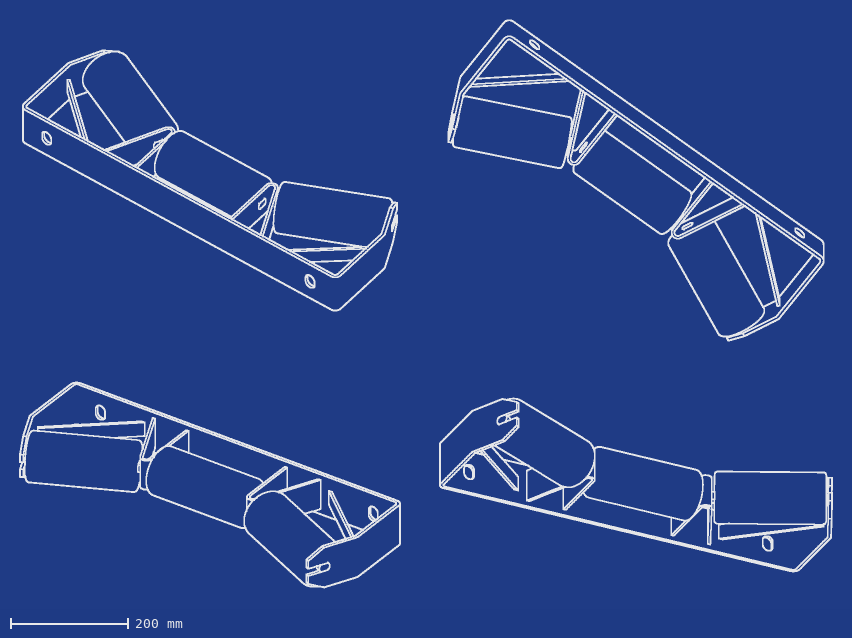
import cadquery as cq
import math


FRAME_LENGTH = 680.0
STRAP_HEIGHT = 80.0
STRAP_THICKNESS = 6.0
CORNER_RADIUS = 11.5
ARM_BEND_RADIUS = 13.5

ROLLER_DIAMETER = 89.0
ROLLER_LENGTH = 190.5
ROLLER_EDGE_RADIUS = 5.5
SHAFT_DIAMETER = 20.5
SHAFT_FLATS = 14.0
BRACKET_GAP = 5.0
ARM_GAP = 3.5
TROUGH_ANGLE = 25.0
MIDDLE_ROLLER_Y = 98.5
SIDE_ROLLER_X = 217.5
SIDE_ROLLER_Y = 149.5

ARM_TOP_Y = 223.0
ARM_TIP_WIDTH = 45.5
ARM_CHAMFER_LENGTH = 31.0

PLATE_THICKNESS = 5.0
BRACKET_HEIGHT = 58.5
ARCH_RADIUS = 11.0
BRACE_HEIGHT = 27.0
BRACE_FOOT_X = 190.5
BRACE_TOP_X = 331.0
BRACE_TOP_Y = 124.0

MOUNT_SLOT_X = 283.0
MOUNT_SLOT_WIDTH = 19.0
MOUNT_SLOT_HEIGHT = 28.0

HALF_LENGTH = FRAME_LENGTH / 2
COS = math.cos(math.radians(TROUGH_ANGLE))
SIN = math.sin(math.radians(TROUGH_ANGLE))
BRACKET_SEAT = ROLLER_LENGTH / 2 + BRACKET_GAP
BRACKET_REACH = BRACKET_SEAT + PLATE_THICKNESS
ARM_SEAT = ROLLER_LENGTH / 2 + ARM_GAP
ARM_REACH = ARM_SEAT + STRAP_THICKNESS
FOOT_Y = STRAP_THICKNESS / 2


def side_point(along, across):
    """Point at the right side roller: `along` its axis outwards, `across` it upwards."""
    return (SIDE_ROLLER_X + along * COS - across * SIN, SIDE_ROLLER_Y + along * SIN + across * COS)


def across_at_x(along, x):
    """Where the line at a fixed `along` crosses a given X."""
    return (SIDE_ROLLER_X + along * COS - x) / SIN


def across_at_y(along, y):
    """Where the line at a fixed `along` crosses a given Y."""
    return (y - SIDE_ROLLER_Y - along * SIN) / COS


def plate(outline, height):
    """Close an outline and make it a plate centred on Z = 0."""
    return outline.close().extrude(height / 2, both=True)


def on_both_sides(right_half):
    """Join a right-hand shape with its mirror image."""
    return right_half.union(right_half.mirror("YZ"))


def nearest(x, y):
    """Select the upright edge at a corner of the strap."""
    return cq.selectors.NearestToPointSelector((x, y, 0))


def make_strap():
    """Right half of the strap: back, end wall and tilted arm, mirrored to the other side."""
    inner_x = HALF_LENGTH - STRAP_THICKNESS
    tip = across_at_y(ARM_REACH, ARM_TOP_Y)
    outer_bend = side_point(ARM_REACH, across_at_x(ARM_REACH, HALF_LENGTH))
    inner_bend = side_point(ARM_SEAT, across_at_x(ARM_SEAT, inner_x))
    outline = (
        cq.Workplane("XY")
        .moveTo(0, 0)
        .lineTo(HALF_LENGTH, 0)
        .lineTo(*outer_bend)
        .lineTo(*side_point(ARM_REACH, tip))
        .lineTo(*side_point(ARM_SEAT, tip))
        .lineTo(*inner_bend)
        .lineTo(inner_x, STRAP_THICKNESS)
        .lineTo(0, STRAP_THICKNESS)
    )
    strap = plate(outline, STRAP_HEIGHT)
    strap = strap.edges(nearest(HALF_LENGTH, 0)).fillet(CORNER_RADIUS)
    strap = strap.edges(nearest(inner_x, STRAP_THICKNESS)).fillet(CORNER_RADIUS - STRAP_THICKNESS)
    strap = strap.edges(nearest(*outer_bend)).fillet(ARM_BEND_RADIUS)
    strap = strap.edges(nearest(*inner_bend)).fillet(ARM_BEND_RADIUS - STRAP_THICKNESS)
    return on_both_sides(strap.cut(arm_corners(tip)))


def arm_corners(tip):
    """Wedges that bevel the upper and lower corner of an arm tip."""
    drop = (STRAP_HEIGHT - ARM_TIP_WIDTH) / 2
    wedge = (
        cq.Workplane("YZ")
        .moveTo(tip, STRAP_HEIGHT / 2)
        .lineTo(tip - ARM_CHAMFER_LENGTH, STRAP_HEIGHT / 2)
        .lineTo(tip, STRAP_HEIGHT / 2 - drop)
        .close()
        .extrude(ARM_REACH)
    )
    return on_side_roller(wedge.union(wedge.mirror("XY")))


def make_bracket():
    """Arched plate between two rollers: a straight leg, a round top and a tilted leg."""
    arch_x = BRACKET_SEAT + ARCH_RADIUS
    arch_along = -arch_x
    arch_y = side_point(arch_along, across_at_x(arch_along, arch_x))[1]
    inner_radius = ARCH_RADIUS - PLATE_THICKNESS
    crown_angle = math.radians((180 + TROUGH_ANGLE) / 2)

    def arch_point(radius, angle):
        return (arch_x + radius * math.cos(angle), arch_y + radius * math.sin(angle))

    tilted_start = math.radians(TROUGH_ANGLE)
    outline = (
        cq.Workplane("XY")
        .moveTo(BRACKET_SEAT, FOOT_Y)
        .lineTo(*arch_point(ARCH_RADIUS, math.pi))
        .threePointArc(arch_point(ARCH_RADIUS, crown_angle), arch_point(ARCH_RADIUS, tilted_start))
        .lineTo(*side_point(-BRACKET_SEAT, across_at_y(-BRACKET_SEAT, FOOT_Y)))
        .lineTo(*side_point(-BRACKET_REACH, across_at_y(-BRACKET_REACH, FOOT_Y)))
        .lineTo(*arch_point(inner_radius, tilted_start))
        .threePointArc(arch_point(inner_radius, crown_angle), arch_point(inner_radius, math.pi))
        .lineTo(BRACKET_REACH, FOOT_Y)
    )
    return plate(outline, BRACKET_HEIGHT)


def make_brace():
    """Slanted plate from the strap's back towards its end wall, square at the top."""
    run = BRACE_TOP_X - BRACE_FOOT_X
    rise = BRACE_TOP_Y - FOOT_Y
    length = math.hypot(run, rise)
    offset_x = -PLATE_THICKNESS / 2 * rise / length
    offset_y = PLATE_THICKNESS / 2 * run / length
    half_foot = PLATE_THICKNESS / 2 * length / rise
    outline = (
        cq.Workplane("XY")
        .moveTo(BRACE_FOOT_X - half_foot, FOOT_Y)
        .lineTo(BRACE_FOOT_X + half_foot, FOOT_Y)
        .lineTo(BRACE_TOP_X - offset_x, BRACE_TOP_Y - offset_y)
        .lineTo(BRACE_TOP_X + offset_x, BRACE_TOP_Y + offset_y)
    )
    return plate(outline, BRACE_HEIGHT)


def make_shaft(left_reach, right_reach):
    """Round shaft along X with a flat above and below."""
    length = left_reach + right_reach
    rod = cq.Workplane("YZ").circle(SHAFT_DIAMETER / 2).extrude(length)
    flats = cq.Workplane("YZ").rect(SHAFT_DIAMETER, SHAFT_FLATS).extrude(length)
    return rod.intersect(flats).translate((-left_reach, 0, 0))


def make_roller(left_reach, right_reach):
    """Rounded drum with its shaft, centred on the origin along X."""
    drum = cq.Workplane("YZ").circle(ROLLER_DIAMETER / 2).extrude(ROLLER_LENGTH)
    drum = drum.translate((-ROLLER_LENGTH / 2, 0, 0))
    drum = drum.faces("<X or >X").edges().fillet(ROLLER_EDGE_RADIUS)
    return drum.union(make_shaft(left_reach, right_reach))


def on_side_roller(shape):
    """Move a shape from the origin to the right side roller."""
    return shape.rotate((0, 0, 0), (0, 0, 1), TROUGH_ANGLE).translate((SIDE_ROLLER_X, SIDE_ROLLER_Y, 0))


def make_arm_slot():
    """Open slot from the shaft seat past the tip of an end arm."""
    tip = across_at_y(ARM_REACH, ARM_TOP_Y)
    slot = (
        cq.Workplane("XY")
        .box(STRAP_THICKNESS, tip, SHAFT_FLATS, centered=(False, False, True))
        .translate((ARM_SEAT, 0, 0))
    )
    return on_side_roller(slot)


def make_mount_slots():
    """Upright slots through the strap's back."""
    return (
        cq.Workplane("XZ")
        .pushPoints([(-MOUNT_SLOT_X, 0), (MOUNT_SLOT_X, 0)])
        .slot2D(MOUNT_SLOT_HEIGHT, MOUNT_SLOT_WIDTH, 90)
        .extrude(STRAP_THICKNESS, both=True)
    )


def make_frame():
    """Strap, brackets and braces as one welded solid with openings for the shafts."""
    inner_plates = make_bracket().union(make_brace())
    side_openings = on_side_roller(make_shaft(BRACKET_REACH, ARM_REACH)).union(make_arm_slot())
    middle_opening = make_shaft(BRACKET_REACH, BRACKET_REACH).translate((0, MIDDLE_ROLLER_Y, 0))
    frame = make_strap().union(on_both_sides(inner_plates))
    frame = frame.cut(on_both_sides(side_openings))
    return frame.cut(middle_opening).cut(make_mount_slots())


frame = make_frame()
middle_roller = make_roller(BRACKET_REACH, BRACKET_REACH).translate((0, MIDDLE_ROLLER_Y, 0))
right_roller = on_side_roller(make_roller(BRACKET_REACH, ARM_REACH))
left_roller = right_roller.mirror("YZ")

result = cq.Compound.makeCompound(
    [frame.val(), middle_roller.val(), right_roller.val(), left_roller.val()]
)